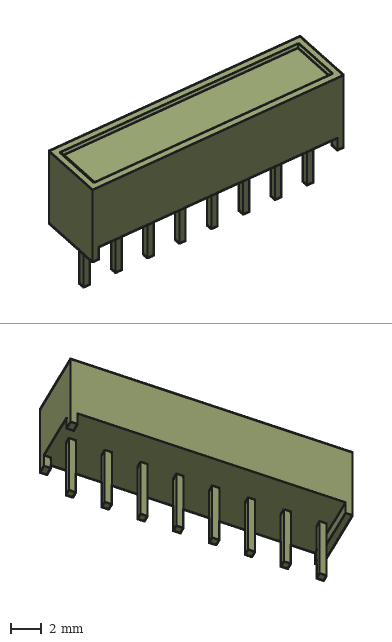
import cadquery as cq

length = 20.05
width = 4.87
total_height = 10.1
housing_height = 6.1
body_height = 5.07
foot_thickness = 0.5
corner_foot_width = 0.65

side_rim = 0.55
end_rim = 0.5
recess_depth = 0.18
wall_inset = 0.18

pin_count = 8
pin_pitch = 2.55
pin_size = 0.5

underside_z = total_height - body_height
foot_z = total_height - housing_height


def make_housing():
    """Block cut away below to leave a full-width foot at -Y and two corner feet at +Y."""
    block = cq.Workplane("XY").workplane(offset=foot_z).rect(width, length).extrude(housing_height)
    channel = (
        cq.Workplane("XY")
        .workplane(offset=foot_z)
        .rect(width, length - 2 * foot_thickness)
        .extrude(underside_z - foot_z)
    )
    foot_gap = (
        cq.Workplane("XY")
        .workplane(offset=foot_z)
        .center(0, (length - foot_thickness) / 2)
        .rect(width - 2 * corner_foot_width, foot_thickness)
        .extrude(underside_z - foot_z)
    )
    return block.cut(channel).cut(foot_gap)


def make_recess():
    """Shallow pocket whose four walls slope inward to the floor."""
    mouth_width = width - 2 * side_rim
    mouth_length = length - 2 * end_rim
    return (
        cq.Workplane("XY")
        .workplane(offset=total_height)
        .rect(mouth_width, mouth_length)
        .workplane(offset=-recess_depth)
        .rect(mouth_width - 2 * wall_inset, mouth_length - 2 * wall_inset)
        .loft(ruled=True)
    )


def make_pins():
    """Evenly spaced pins along Y, centred under the housing."""
    return (
        cq.Workplane("XY")
        .rarray(0.2, pin_pitch, 1, pin_count)
        .rect(pin_size, pin_size)
        .extrude(underside_z)
    )


result = make_housing().cut(make_recess()).union(make_pins())